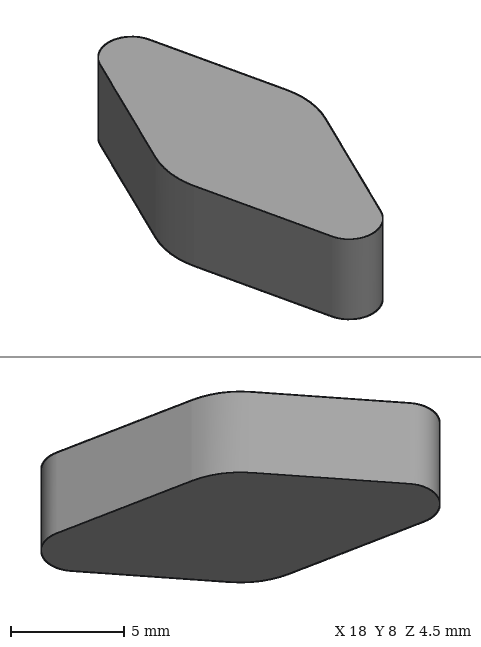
import cadquery as cq
import math

length = 17.99
width = 8.0
thickness = 4.5
tip_radius = 1.5

center_radius = width / 2
tip_offset = length / 2 - tip_radius

flank_angle = math.asin((center_radius - tip_radius) / tip_offset)
tangent_x = math.sin(flank_angle)
tangent_y = math.cos(flank_angle)

center_x = center_radius * tangent_x
center_y = center_radius * tangent_y
tip_x = tip_offset + tip_radius * tangent_x
tip_y = tip_radius * tangent_y

result = (
    cq.Workplane("XY")
    .moveTo(-center_x, center_y)
    .threePointArc((0, center_radius), (center_x, center_y))
    .lineTo(tip_x, tip_y)
    .threePointArc((length / 2, 0), (tip_x, -tip_y))
    .lineTo(center_x, -center_y)
    .threePointArc((0, -center_radius), (-center_x, -center_y))
    .lineTo(-tip_x, -tip_y)
    .threePointArc((-length / 2, 0), (-tip_x, tip_y))
    .close()
    .extrude(thickness)
)